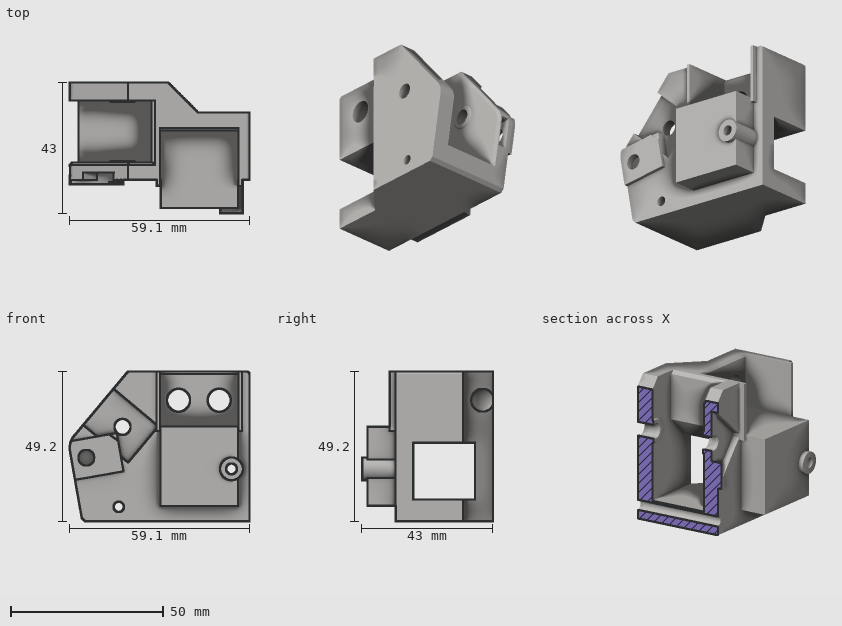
import cadquery as cq
import math

LENGTH = 59.15
HEIGHT = 49.25
DEPTH = 32.0
OVERLAP = 0.6
SELECT_MARGIN = 0.05

TOP_LEFT_X = 19.15
NOSE_RADIUS = 6.1
NOSE_CENTER_Z = 24.1
LEFT_TILT = math.radians(10.0)
FOOT_Z = 1.1
FOOT_END_X = 5.15
CORNER_RADIUS = 1.05

BACK_STEP_START_X = 32.35
BACK_STEP = 9.8

FRONT_PLATE = 5.8
BACK_PLATE = 6.0
FLOOR = 7.3
FORK_WALL_X = 26.85
FORK_WALL_BOTTOM = 32.45
TUNNEL_ROOF = 25.8
PLATE_CHAMFER = 0.95
WALL_CHAMFER = 1.2

POCKET_X = (29.75, 55.5)
POCKET_BACK_Y = 16.2
POCKET_FLOOR = 31.15
POCKET_CHAMFER = 0.9
LIP_WIDTH = 1.2
LIP_BOTTOM = 29.6
LIP_HEIGHT = 1.95
BLOCK_INSET = 0.1
BLOCK_BOTTOM = 5.15
BLOCK_HEIGHT = 9.3
WIRE_HOLES_X = (35.8, 49.15)
WIRE_HOLES_Z = 39.8
WIRE_HOLE_DIAMETER = 7.5

BOSS_X, BOSS_Z = 53.15, 17.25
BOSS_DIAMETER = 7.5
BOSS_HEIGHT = 11.0
BOSS_HOLE_DIAMETER = 3.5

PIVOT_X, PIVOT_Z = 17.4, 31.05
PIVOT_DIAMETER = 5.2
PIVOT_RING_BASE_DIAMETER = 8.4
PIVOT_RING_TIP_DIAMETER = 7.5
PIVOT_RING_HEIGHT = 0.4
PIN_X, PIN_Z = 16.15, 4.8
PIN_DIAMETER = 3.3

RECESS_DEPTH = 2.4
RECESS_LENGTH = 19.2
RECESS_WIDTH = 15.5
RECESS_CORNER_Z = 31.7

COVER_THICKNESS = 1.5
COVER_TOP_CORNER = (15.5, 29.05)
COVER_LENGTH = 17.75
COVER_WIDTH = 12.8
COVER_STEP = 0.7
COVER_STEP_LEG = 2.55
COVER_HOLE_X, COVER_HOLE_Z = 5.5, 20.95
COVER_HOLE_DIAMETER = 5.2
SLOT_Y = (1.4, 4.5)
SLOT_MOUTH_Z = (14.7, 25.2)
SLOT_END_Z = (15.3, 24.7)
SLOT_END_X = 8.9

corner_dx = TOP_LEFT_X - NOSE_RADIUS
corner_dz = HEIGHT - NOSE_CENTER_Z
corner_distance = math.hypot(corner_dx, corner_dz)
upper_angle = math.atan2(corner_dz, corner_dx) + math.acos(NOSE_RADIUS / corner_distance)
lower_angle = math.pi + LEFT_TILT
slope_along = (math.sin(upper_angle), -math.cos(upper_angle))
slope_inward = (-math.cos(upper_angle), -math.sin(upper_angle))


def nose_point(angle):
    return (NOSE_RADIUS + NOSE_RADIUS * math.cos(angle), NOSE_CENTER_Z + NOSE_RADIUS * math.sin(angle))


def step(point, direction, distance):
    return (point[0] + direction[0] * distance, point[1] + direction[1] * distance)


def box(x_range, y_range, z_range):
    sizes = [end - start for start, end in (x_range, y_range, z_range)]
    return cq.Workplane("XY").box(*sizes, centered=False).translate((x_range[0], y_range[0], z_range[0]))


def plate(points, y_start, y_end):
    """Polygon in X and Z, extruded from y_start to y_end."""
    return cq.Workplane("XZ", origin=(0, y_start, 0)).polyline(points).close().extrude(y_start - y_end)


def rod(x, z, diameter, y_start, y_end):
    return cq.Workplane("XZ", origin=(x, y_start, z)).circle(diameter / 2).extrude(y_start - y_end)


def side_profile(y_start, y_end):
    lower = nose_point(lower_angle)
    foot_x = lower[0] + (lower[1] - FOOT_Z) * math.tan(LEFT_TILT)
    return (
        cq.Workplane("XZ", origin=(0, y_start, 0))
        .moveTo(FOOT_END_X, 0)
        .lineTo(foot_x, FOOT_Z)
        .lineTo(*lower)
        .threePointArc(nose_point((lower_angle + upper_angle) / 2), nose_point(upper_angle))
        .lineTo(TOP_LEFT_X, HEIGHT)
        .lineTo(LENGTH - CORNER_RADIUS, HEIGHT)
        .radiusArc((LENGTH, HEIGHT - CORNER_RADIUS), CORNER_RADIUS)
        .lineTo(LENGTH, 0)
        .close()
        .extrude(y_start - y_end)
    )


def bracket_body():
    step_end_x = BACK_STEP_START_X + BACK_STEP
    plan = [(0, 0), (LENGTH, 0), (LENGTH, DEPTH - BACK_STEP), (step_end_x, DEPTH - BACK_STEP),
            (BACK_STEP_START_X, DEPTH), (0, DEPTH)]
    footprint = cq.Workplane("XY").polyline(plan).close().extrude(HEIGHT)
    return side_profile(0, DEPTH).intersect(footprint)


def fork_opening():
    above = HEIGHT + OVERLAP
    slope_end_x = FORK_WALL_X + FORK_WALL_BOTTOM - TUNNEL_ROOF
    section = [
        (-OVERLAP, FLOOR), (-OVERLAP, above), (FORK_WALL_X + WALL_CHAMFER + OVERLAP, above),
        (FORK_WALL_X, HEIGHT - WALL_CHAMFER), (FORK_WALL_X, FORK_WALL_BOTTOM),
        (slope_end_x, TUNNEL_ROOF), (LENGTH + OVERLAP, TUNNEL_ROOF), (LENGTH + OVERLAP, FLOOR),
    ]
    return plate(section, FRONT_PLATE, DEPTH - BACK_PLATE)


def chamfer_front_plate(body):
    """Bevel the outer edges of the front plate that face the fork."""
    edges = cq.selectors.BoxSelector(
        (-OVERLAP, FRONT_PLATE - SELECT_MARGIN, FLOOR + SELECT_MARGIN),
        (FORK_WALL_X - SELECT_MARGIN, FRONT_PLATE + SELECT_MARGIN, HEIGHT + OVERLAP),
    )
    return body.edges(edges).chamfer(PLATE_CHAMFER)


def upper_pocket():
    pocket = box(POCKET_X, (-LIP_HEIGHT - OVERLAP, POCKET_BACK_Y), (POCKET_FLOOR, HEIGHT + OVERLAP))
    bevel = (
        cq.Workplane("YZ", origin=(POCKET_X[0], 0, 0))
        .polyline([(POCKET_BACK_Y, HEIGHT - POCKET_CHAMFER), (POCKET_BACK_Y + POCKET_CHAMFER, HEIGHT),
                   (POCKET_BACK_Y, HEIGHT)])
        .close()
        .extrude(POCKET_X[1] - POCKET_X[0])
    )
    return pocket.union(bevel)


def recess():
    """Shallow pocket open at the sloping edge and ending at the near lip."""
    start = nose_point(upper_angle)
    edge_distance = (RECESS_CORNER_Z - start[1]) / slope_along[1]
    corner = step(start, slope_along, edge_distance)
    outer = step(corner, slope_inward, -OVERLAP)
    inner = step(corner, slope_inward, RECESS_LENGTH)
    points = [outer, inner, step(inner, slope_along, RECESS_WIDTH), step(outer, slope_along, RECESS_WIDTH)]
    left_of_lip = box((-OVERLAP, POCKET_X[0] - LIP_WIDTH), (-OVERLAP, RECESS_DEPTH), (0, HEIGHT))
    return plate(points, -OVERLAP, RECESS_DEPTH).intersect(left_of_lip)


def cover():
    """Plate on the nose, filling the recess behind it and stepped where it meets the pivot."""
    outward = (-math.cos(LEFT_TILT), -math.sin(LEFT_TILT))
    downward = (math.sin(LEFT_TILT), -math.cos(LEFT_TILT))
    lower_corner = step(COVER_TOP_CORNER, downward, COVER_WIDTH)
    points = [COVER_TOP_CORNER, lower_corner, step(lower_corner, outward, COVER_LENGTH),
              step(COVER_TOP_CORNER, outward, COVER_LENGTH)]
    blank = plate(points, -COVER_THICKNESS, RECESS_DEPTH)
    outline = side_profile(-COVER_THICKNESS, RECESS_DEPTH)
    step_start = step(COVER_TOP_CORNER, outward, COVER_STEP_LEG)
    step_end = step(COVER_TOP_CORNER, downward, COVER_STEP_LEG)
    corner = step(COVER_TOP_CORNER, outward, -OVERLAP)
    notch = plate([step_start, step_end, corner], -COVER_THICKNESS, COVER_STEP - COVER_THICKNESS)
    return blank.intersect(outline).cut(notch)


def cover_slot():
    points = [(0, SLOT_MOUTH_Z[0]), (SLOT_END_X, SLOT_END_Z[0]),
              (SLOT_END_X, SLOT_END_Z[1]), (0, SLOT_MOUTH_Z[1])]
    return plate(points, *SLOT_Y)


def pivot_ring(base_y, direction):
    """Cone frustum rising from base_y toward +Y (direction 1) or -Y (direction -1)."""
    radius_drop = (PIVOT_RING_BASE_DIAMETER - PIVOT_RING_TIP_DIAMETER) / 2
    taper = math.degrees(math.atan2(radius_drop, PIVOT_RING_HEIGHT))
    return (
        cq.Workplane(cq.Plane((PIVOT_X, base_y, PIVOT_Z), xDir=(1, 0, 0), normal=(0, direction, 0)))
        .circle(PIVOT_RING_BASE_DIAMETER / 2)
        .extrude(PIVOT_RING_HEIGHT, taper=taper)
    )


result = chamfer_front_plate(bracket_body().cut(fork_opening())).cut(recess())

block_x = (POCKET_X[0] + BLOCK_INSET, POCKET_X[1] - BLOCK_INSET)
result = result.union(box(block_x, (-BLOCK_HEIGHT, FRONT_PLATE), (BLOCK_BOTTOM, POCKET_FLOOR)))
for lip_x in (POCKET_X[0] - LIP_WIDTH, POCKET_X[1]):
    result = result.union(box((lip_x, lip_x + LIP_WIDTH), (-LIP_HEIGHT, 0), (LIP_BOTTOM, HEIGHT)))
result = result.union(rod(BOSS_X, BOSS_Z, BOSS_DIAMETER, -BOSS_HEIGHT, FRONT_PLATE))
result = result.union(cover())

for base_y, direction in ((FRONT_PLATE, 1), (DEPTH - BACK_PLATE, -1)):
    result = result.union(pivot_ring(base_y, direction))

result = result.cut(upper_pocket()).cut(cover_slot())
for hole_x in WIRE_HOLES_X:
    result = result.cut(rod(hole_x, WIRE_HOLES_Z, WIRE_HOLE_DIAMETER, 0, DEPTH))
result = result.cut(rod(BOSS_X, BOSS_Z, BOSS_HOLE_DIAMETER, -BOSS_HEIGHT, DEPTH))
result = result.cut(rod(PIN_X, PIN_Z, PIN_DIAMETER, 0, DEPTH))
result = result.cut(rod(PIVOT_X, PIVOT_Z, PIVOT_DIAMETER, -COVER_THICKNESS, DEPTH))
result = result.cut(rod(COVER_HOLE_X, COVER_HOLE_Z, COVER_HOLE_DIAMETER, -COVER_THICKNESS, SLOT_Y[1]))